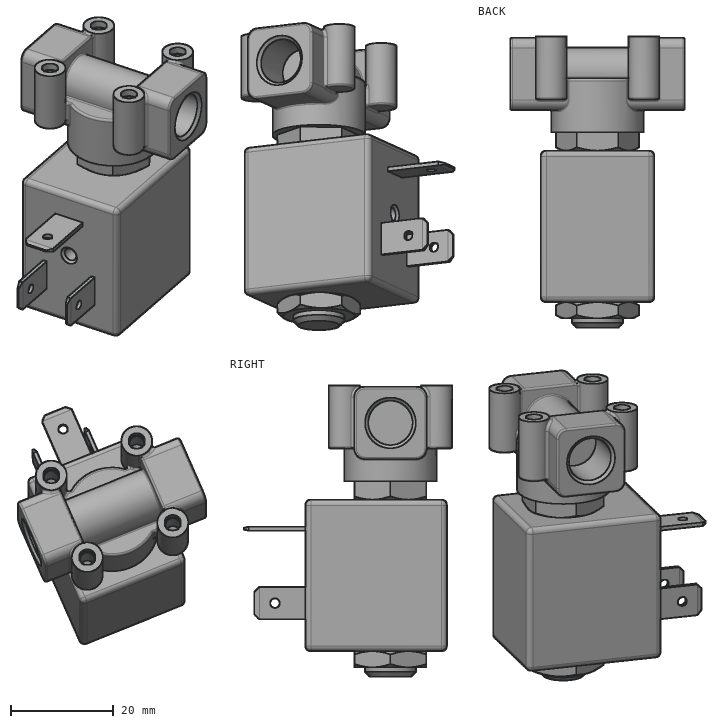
import cadquery as cq
import math

TOTAL_HEIGHT = 56.65

BODY_LENGTH = 34.0
BLOCK_SIZE = 14.05
BLOCK_TOP_GAP = 0.3
BLOCK_INNER_X = 8.45
BLOCK_ROUND = 2.0
BLOCK_END_ROUND = 0.4
BARREL_RADIUS = 5.15
BOSS_RADIUS = 9.0
BAR_END_X = 11.35
BOSS_TOP = 48.5
BOSS_BOTTOM = 37.95
BOSS_ROUND = 0.45
BLEND_RADIUS = 0.2
POST_BLEND_RADIUS = 0.45
PORT_AXIS_Z = TOTAL_HEIGHT - BLOCK_TOP_GAP - BLOCK_SIZE / 2

PORT_RADIUS = 4.3
PORT_MOUTH_RADIUS = 4.95
PORT_DEPTH = 9.95

POST_RADIUS = 3.0
POST_OFFSET = 9.0
POST_BOTTOM = 44.35
POST_END_ROUND = 0.4
POST_HOLE_RADIUS = 1.35
POST_BORE_RADIUS = 1.6
POST_BORE_DEPTH = 1.4
POST_HOLE_DEPTH = 6.8

COIL_WIDTH = 22.1
COIL_BACK_Y = 11.0
COIL_FRONT_Y = -16.55
COIL_BOTTOM = 5.0
COIL_TOP = 34.45
COIL_ROUND = 1.1
COIL_HOLE_Z = 20.5
COIL_HOLE_RADIUS = 1.3
COIL_HOLE_MOUTH_RADIUS = 1.8
COIL_HOLE_DEPTH = 6.8

HEX_FLATS = 14.0
HEX_CHAMFER_ANGLE = 30.0
NUT_BOTTOM = 1.85
STUB_RADIUS = 5.0
STUB_CHAMFER = 0.95

BLADE_WIDTH = 6.3
BLADE_THICKNESS = 0.8
BLADE_CORNER = 0.95
BLADE_TIP_THICKNESS = 0.35
BLADE_HOLE_RADIUS = 0.9
BLADE_HOLE_FROM_TIP = 4.0
BLADE_ROOT = 0.55
TOP_BLADE_TIP_Y = -28.5
TOP_BLADE_Z = 28.8
SIDE_BLADE_TIP_Y = -26.45
SIDE_BLADE_X = 5.5
SIDE_BLADE_Z = 14.35

DRILL_TIP_ANGLE = 118.0

SEARCH_REACH = 1.7


def blind_hole(radius, depth, mouth):
    """Blind hole running down -Z from the origin: mouth points (radius, z), then bore and conical tip."""
    tip = radius / math.tan(math.radians(DRILL_TIP_ANGLE / 2))
    profile = [(0, 0)] + mouth + [(radius, -depth), (0, -depth - tip)]
    return cq.Workplane("XZ").polyline(profile).close().revolve(360, (0, 0, 0), (0, 1, 0))


def hexagon(bottom, top, chamfer_top):
    """Hexagon with corners on X, its corners turned off by a cone at the bottom and maybe the top."""
    height = top - bottom
    flat_radius = HEX_FLATS / 2
    corner_radius = flat_radius / math.cos(math.pi / 6)
    drop = (corner_radius - flat_radius) * math.tan(math.radians(HEX_CHAMFER_ANGLE))
    prism = cq.Workplane("XY").workplane(offset=bottom).polygon(6, 2 * corner_radius).extrude(height)
    profile = [(0, bottom), (flat_radius, bottom), (corner_radius, bottom + drop)]
    if chamfer_top:
        profile += [(corner_radius, top - drop), (flat_radius, top), (0, top)]
    else:
        profile += [(corner_radius, top), (0, top)]
    turned = cq.Workplane("XZ").polyline(profile).close().revolve(360, (0, 0, 0), (0, 1, 0))
    return prism.intersect(turned)


def port_block():
    """Rounded block at the +X end of the body."""
    length = BODY_LENGTH / 2 - BLOCK_INNER_X
    return (
        cq.Workplane("XY")
        .box(length, BLOCK_SIZE, BLOCK_SIZE)
        .edges("|X").fillet(BLOCK_ROUND)
        .faces("<X or >X").edges().fillet(BLOCK_END_ROUND)
        .translate((BLOCK_INNER_X + length / 2, 0, PORT_AXIS_Z))
    )


def near(x, y, z):
    """Selects the edges centred close to a point or to its mirror images in X and Y."""
    reach = cq.Vector(SEARCH_REACH, SEARCH_REACH, SEARCH_REACH)
    boxes = [
        cq.selectors.BoxSelector(centre - reach, centre + reach)
        for centre in (cq.Vector(sx * x, sy * y, z) for sx in (-1, 1) for sy in (-1, 1))
    ]
    return boxes[0] + boxes[1] + boxes[2] + boxes[3]


def body_core():
    """Round boss crossed by the low part of the port bar, both level at the boss top."""
    block_bottom = PORT_AXIS_Z - BLOCK_SIZE / 2
    boss = (
        cq.Workplane("XY").workplane(offset=BOSS_BOTTOM)
        .circle(BOSS_RADIUS).extrude(BOSS_TOP - BOSS_BOTTOM)
    )
    bar = (
        cq.Workplane("XY").workplane(offset=block_bottom)
        .rect(2 * BAR_END_X, BLOCK_SIZE).extrude(BOSS_TOP - block_bottom)
        .faces("<Z").edges("|X").fillet(BLOCK_ROUND)
    )
    bar_to_boss_x = math.sqrt(BOSS_RADIUS ** 2 - (BLOCK_SIZE / 2) ** 2)
    bar_to_boss_z = (BOSS_TOP + block_bottom + BLOCK_ROUND) / 2
    core = boss.union(bar)
    core = core.edges("|Z").edges(near(bar_to_boss_x, BLOCK_SIZE / 2, bar_to_boss_z)).fillet(BLEND_RADIUS)
    return core.faces(">Z").edges().fillet(BOSS_ROUND)


def valve_body():
    barrel = (
        cq.Workplane("YZ").workplane(offset=-BLOCK_INNER_X)
        .center(0, PORT_AXIS_Z).circle(BARREL_RADIUS).extrude(2 * BLOCK_INNER_X)
    )
    block = port_block()
    body = body_core().union(barrel).union(block).union(block.mirror("YZ"))

    posts = (
        cq.Workplane("XY").workplane(offset=POST_BOTTOM)
        .rect(2 * POST_OFFSET, 2 * POST_OFFSET, forConstruction=True).vertices()
        .circle(POST_RADIUS).extrude(TOTAL_HEIGHT - POST_BOTTOM)
        .faces("<Z").edges().fillet(POST_END_ROUND)
    )
    body = body.union(posts)
    barrel_to_boss_y = math.sqrt(BARREL_RADIUS ** 2 - (PORT_AXIS_Z - BOSS_TOP) ** 2)
    barrel_end_z = PORT_AXIS_Z + BARREL_RADIUS / 2
    barrel_to_boss = body.edges("|X").edges(near(0, barrel_to_boss_y, BOSS_TOP))
    barrel_to_block = body.edges("%CIRCLE").edges(near(BLOCK_INNER_X, 0, barrel_end_z))
    body = barrel_to_boss.add(barrel_to_block).fillet(BLEND_RADIUS)

    post_to_block_y = POST_OFFSET - math.sqrt(POST_RADIUS ** 2 - (POST_OFFSET - BLOCK_INNER_X) ** 2)
    post_to_block_z = (BOSS_TOP + TOTAL_HEIGHT) / 2
    post_to_block = body.edges("|Z").edges(near(BLOCK_INNER_X, post_to_block_y, post_to_block_z))
    return post_to_block.fillet(POST_BLEND_RADIUS)


def blade(tip_y):
    """Flat terminal in the XY plane running to tip_y, with cut corners and a bevelled tip."""
    half_width = BLADE_WIDTH / 2
    half_thickness = BLADE_THICKNESS / 2
    root_y = COIL_FRONT_Y + BLADE_ROOT
    shoulder_y = tip_y + BLADE_CORNER
    outline = [
        (-half_width, root_y), (-half_width, shoulder_y), (-half_width + BLADE_CORNER, tip_y),
        (half_width - BLADE_CORNER, tip_y), (half_width, shoulder_y), (half_width, root_y),
    ]
    side = [
        (root_y, half_thickness), (shoulder_y, half_thickness), (tip_y, BLADE_TIP_THICKNESS / 2),
        (tip_y, -BLADE_TIP_THICKNESS / 2), (shoulder_y, -half_thickness), (root_y, -half_thickness),
    ]
    plate = cq.Workplane("XY").polyline(outline).close().extrude(half_thickness, both=True)
    bevel = cq.Workplane("YZ").polyline(side).close().extrude(half_width, both=True)
    hole = (
        cq.Workplane("XY").center(0, tip_y + BLADE_HOLE_FROM_TIP)
        .circle(BLADE_HOLE_RADIUS).extrude(half_thickness, both=True)
    )
    return plate.intersect(bevel).cut(hole)


coil = (
    cq.Workplane("XY")
    .box(COIL_WIDTH, COIL_BACK_Y - COIL_FRONT_Y, COIL_TOP - COIL_BOTTOM)
    .edges().fillet(COIL_ROUND)
    .translate((0, (COIL_BACK_Y + COIL_FRONT_Y) / 2, (COIL_TOP + COIL_BOTTOM) / 2))
)
stub = cq.Workplane("XY").circle(STUB_RADIUS).extrude(COIL_BOTTOM).faces("<Z").chamfer(STUB_CHAMFER)

result = (
    coil
    .union(stub)
    .union(hexagon(NUT_BOTTOM, COIL_BOTTOM, True))
    .union(hexagon(COIL_TOP, BOSS_BOTTOM, False))
    .union(valve_body())
)

result = result.union(blade(TOP_BLADE_TIP_Y).translate((0, 0, TOP_BLADE_Z)))
side_blade = blade(SIDE_BLADE_TIP_Y).rotate((0, 0, 0), (0, 1, 0), 90)
for side in (-1, 1):
    result = result.union(side_blade.translate((side * SIDE_BLADE_X, 0, SIDE_BLADE_Z)))

countersink = [(COIL_HOLE_MOUTH_RADIUS, 0), (COIL_HOLE_RADIUS, COIL_HOLE_RADIUS - COIL_HOLE_MOUTH_RADIUS)]
coil_hole = blind_hole(COIL_HOLE_RADIUS, COIL_HOLE_DEPTH, countersink)
coil_hole = coil_hole.rotate((0, 0, 0), (1, 0, 0), 90).translate((0, COIL_FRONT_Y, COIL_HOLE_Z))
result = result.cut(coil_hole)

counterbore = [
    (POST_BORE_RADIUS, 0), (POST_BORE_RADIUS, -POST_BORE_DEPTH), (POST_HOLE_RADIUS, -POST_BORE_DEPTH),
]
post_hole = blind_hole(POST_HOLE_RADIUS, POST_HOLE_DEPTH, counterbore)
for x in (-POST_OFFSET, POST_OFFSET):
    for y in (-POST_OFFSET, POST_OFFSET):
        result = result.cut(post_hole.translate((x, y, TOTAL_HEIGHT)))

port_mouth_depth = PORT_MOUTH_RADIUS - PORT_RADIUS
port_profile = [
    (BODY_LENGTH / 2, 0), (BODY_LENGTH / 2, PORT_MOUTH_RADIUS),
    (BODY_LENGTH / 2 - port_mouth_depth, PORT_RADIUS),
    (BODY_LENGTH / 2 - PORT_DEPTH, PORT_RADIUS), (BODY_LENGTH / 2 - PORT_DEPTH, 0),
]
port = (
    cq.Workplane("XZ").polyline(port_profile).close()
    .revolve(360, (0, 0, 0), (1, 0, 0)).translate((0, 0, PORT_AXIS_Z))
)
result = result.cut(port).cut(port.mirror("YZ"))